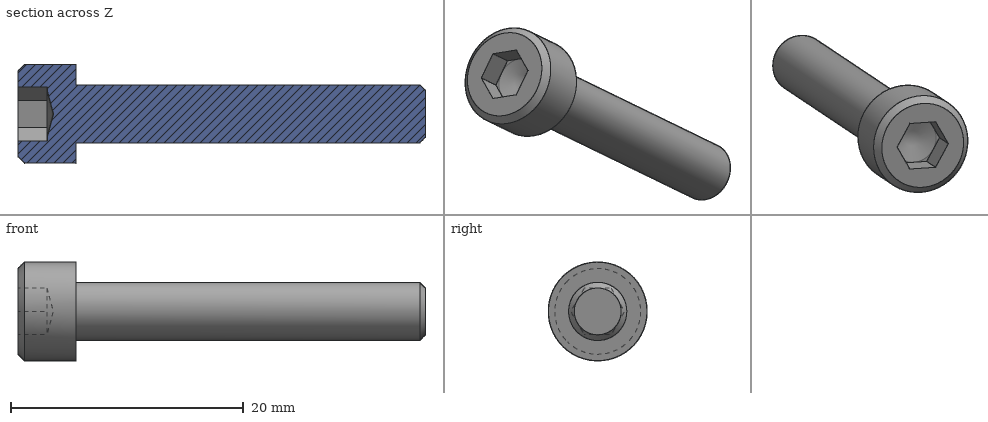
import cadquery as cq
import math

head_diameter = 8.5
head_height = 5.0
head_chamfer = 0.565
shank_diameter = 5.0
shank_length = 30.0
tip_chamfer = 0.49
socket_sides = 6
socket_across_flats = 4.0
socket_depth = 2.5
socket_cone_angle = 150.0

head_face_x = -head_height


def make_body():
    """Head and shank, revolved about the X axis."""
    head_radius = head_diameter / 2
    shank_radius = shank_diameter / 2
    profile = [
        (head_face_x, 0),
        (head_face_x, head_radius - head_chamfer),
        (head_face_x + head_chamfer, head_radius),
        (0, head_radius),
        (0, shank_radius),
        (shank_length - tip_chamfer, shank_radius),
        (shank_length, shank_radius - tip_chamfer),
        (shank_length, 0),
    ]
    return cq.Workplane("XY").polyline(profile).close().revolve(360, (0, 0, 0), (1, 0, 0))


def make_socket():
    """Hexagonal socket with corners on +Y and -Y and a conical bottom."""
    across_corners = socket_across_flats / math.cos(math.pi / socket_sides)
    hexagon = (
        cq.Workplane("YZ", origin=(head_face_x, 0, 0))
        .polygon(socket_sides, across_corners)
        .extrude(socket_depth)
    )
    cone_radius = socket_across_flats / 2
    cone_height = cone_radius / math.tan(math.radians(socket_cone_angle / 2))
    cone_base = cq.Vector(head_face_x + socket_depth, 0, 0)
    cone = cq.Solid.makeCone(cone_radius, 0, cone_height, cone_base, cq.Vector(1, 0, 0))
    return hexagon.union(cq.Workplane(cone))


result = make_body().cut(make_socket())